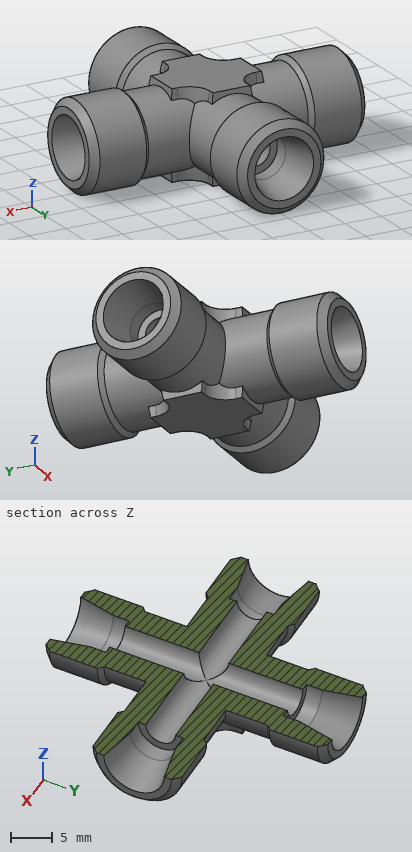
import cadquery as cq
import math

overall_length = 38.0
arm_length = overall_length / 2
arm_angles = (0, 90, 180, 270)

thread_radius = 12.0 / 2
thread_length = 8.0
neck_radius = 10.8 / 2
lead_chamfer = 0.95
runout_chamfer = thread_radius - neck_radius

cone_mouth_radius = 8.1 / 2
cone_half_angle = 12.0
socket_radius = 6.0 / 2
socket_depth = 7.0
passage_radius = 4.0 / 2
cone_depth = (cone_mouth_radius - socket_radius) / math.tan(math.radians(cone_half_angle))

pad_half_length = 6.17
pad_half_width = 2.57
pad_corner_center = neck_radius
pad_draft = 9.0
pad_top = thread_radius
pad_depth = 2.5


def revolve_along_x(profile_points):
    """Revolve a closed (axial, radial) profile around the X axis."""
    profile = cq.Workplane("XY").polyline(profile_points).close()
    return profile.revolve(360, (0, 0, 0), (1, 0, 0))


def make_arm():
    """Outer shape of the arm along +X, from the centre to its end."""
    thread_start = arm_length - thread_length
    return revolve_along_x([
        (0, 0),
        (0, neck_radius),
        (thread_start, neck_radius),
        (thread_start + runout_chamfer, thread_radius),
        (arm_length - lead_chamfer, thread_radius),
        (arm_length, thread_radius - lead_chamfer),
        (arm_length, 0),
    ])


def make_bore():
    """Stepped bore of the arm along +X, reaching past the centre to join the others."""
    socket_floor = arm_length - socket_depth
    return revolve_along_x([
        (-passage_radius, 0),
        (-passage_radius, passage_radius),
        (socket_floor, passage_radius),
        (socket_floor, socket_radius),
        (arm_length - cone_depth, socket_radius),
        (arm_length, cone_mouth_radius),
        (arm_length, 0),
    ])


def pad_outline(height, growth):
    """Cross with concave round corners at a height, its sides moved outwards by growth."""
    half_length = pad_half_length + growth
    half_width = pad_half_width + growth
    corner_radius = pad_corner_center - half_width
    arc_middle = pad_corner_center - corner_radius * math.cos(math.radians(45))
    outline = cq.Workplane("XY", origin=(0, 0, height)).moveTo(half_length, -half_width)
    for angle in arm_angles:
        cosine = math.cos(math.radians(angle))
        sine = math.sin(math.radians(angle))

        def turned(x, y):
            return (x * cosine - y * sine, x * sine + y * cosine)

        outline = outline.lineTo(*turned(half_length, half_width))
        outline = outline.lineTo(*turned(pad_corner_center, half_width))
        outline = outline.threePointArc(
            turned(arc_middle, arc_middle),
            turned(half_width, pad_corner_center),
        )
        if angle != arm_angles[-1]:
            outline = outline.lineTo(*turned(half_width, half_length))
    return outline.close().val()


def make_pad():
    """Upper pad: widens downwards at the draft angle and ends inside the necks."""
    growth = pad_depth * math.tan(math.radians(pad_draft))
    top = pad_outline(pad_top, 0)
    bottom = pad_outline(pad_top - pad_depth, growth)
    return cq.Workplane(cq.Solid.makeLoft([bottom, top], True))


def make_fitting():
    """Join the arms and pads, then cut the four bores."""
    arm = make_arm()
    bore = make_bore()
    pad = make_pad()
    body = arm
    for angle in arm_angles[1:]:
        body = body.union(arm.rotate((0, 0, 0), (0, 0, 1), angle))
    body = body.union(pad).union(pad.mirror("XY"))
    for angle in arm_angles:
        body = body.cut(bore.rotate((0, 0, 0), (0, 0, 1), angle))
    return body


result = make_fitting()